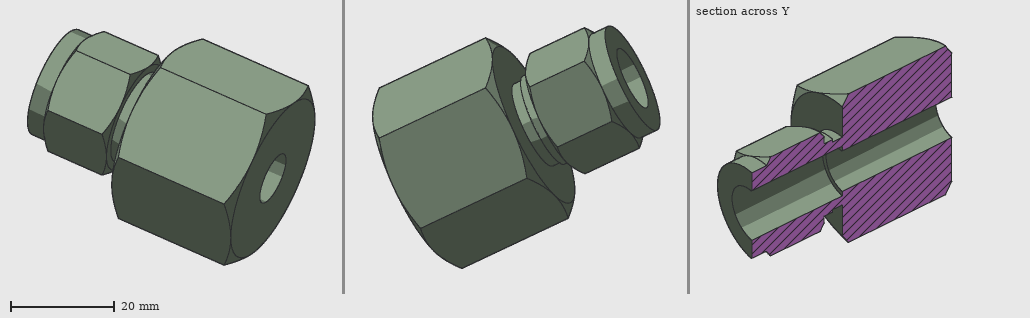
import cadquery as cq
import math

nut_shoulder_x = 3.55
nut_end_x = 17.55
collar_end_x = 19.55
body_start_x = 21.8
body_end_x = 48.25

nut_flats = 22.25
body_flats = 33.35
chamfer_angle = 30.0

collar_diameter = 18.9
neck_diameter = 17.6
tube_socket_diameter = 12.7
bore_diameter = 10.4
tube_socket_depth = body_start_x


def cylinder(diameter, start_x, end_x):
    """Round bar along X between two stations."""
    return cq.Workplane("YZ", origin=(start_x, 0, 0)).circle(diameter / 2).extrude(end_x - start_x)


def chamfered_hexagon(flats, start_x, end_x):
    """Hexagonal bar along X whose corners are cut by a cone at both ends."""
    flat_radius = flats / 2
    corner_radius = flat_radius / math.cos(math.radians(30))
    chamfer_length = (corner_radius - flat_radius) * math.tan(math.radians(chamfer_angle))

    prism = (
        cq.Workplane("YZ", origin=(start_x, 0, 0))
        .transformed(rotate=(0, 0, 90))
        .polygon(6, 2 * corner_radius)
        .extrude(end_x - start_x)
    )
    envelope = (
        cq.Workplane("XY")
        .moveTo(start_x, 0)
        .lineTo(start_x, flat_radius)
        .lineTo(start_x + chamfer_length, corner_radius)
        .lineTo(end_x - chamfer_length, corner_radius)
        .lineTo(end_x, flat_radius)
        .lineTo(end_x, 0)
        .close()
        .revolve(360, (0, 0, 0), (1, 0, 0))
    )
    return prism.intersect(envelope)


nut_nose = cylinder(nut_flats, 0, nut_shoulder_x)
nut = nut_nose.union(chamfered_hexagon(nut_flats, nut_shoulder_x, nut_end_x))

collar = cylinder(collar_diameter, nut_end_x, collar_end_x)
neck = cylinder(neck_diameter, collar_end_x, body_start_x)
body_hexagon = chamfered_hexagon(body_flats, body_start_x, body_end_x)

tube_socket = cylinder(tube_socket_diameter, 0, tube_socket_depth)
bore = cylinder(bore_diameter, 0, body_end_x)

fitting = nut.union(collar).union(neck).union(body_hexagon)
result = fitting.cut(tube_socket).cut(bore)